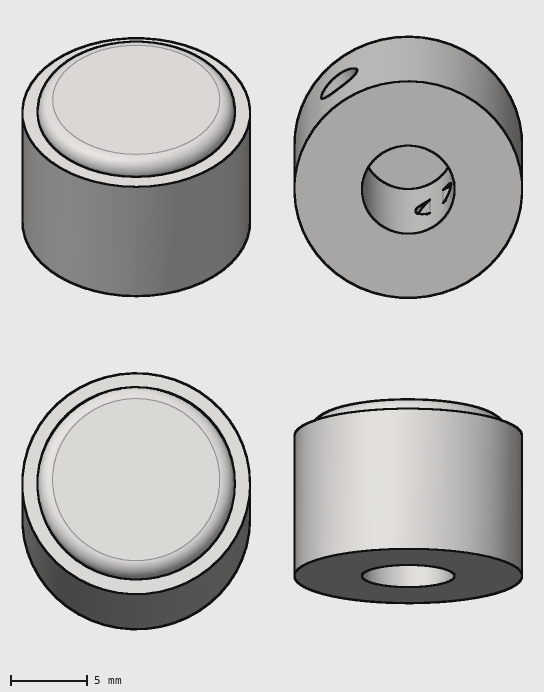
import cadquery as cq

body_diameter = 15.0
body_height = 9.5

cap_diameter = 13.0
cap_height = 1.1
cap_fillet = 1.0

bore_diameter = 6.1
bore_depth = body_height

screw_hole_diameter = 3.0
screw_hole_height = body_height / 2
screw_hole_end_x = 3.0
screw_hole_depth = body_diameter / 2 + screw_hole_end_x


def make_body():
    return cq.Workplane("XY").circle(body_diameter / 2).extrude(body_height)


def make_cap():
    cap = (
        cq.Workplane("XY")
        .workplane(offset=body_height)
        .circle(cap_diameter / 2)
        .extrude(cap_height)
    )
    return cap.faces(">Z").edges().fillet(cap_fillet)


def make_shaft_bore():
    return cq.Workplane("XY").circle(bore_diameter / 2).extrude(bore_depth)


def make_screw_hole():
    return (
        cq.Workplane("YZ")
        .workplane(offset=screw_hole_end_x)
        .center(0, screw_hole_height)
        .circle(screw_hole_diameter / 2)
        .extrude(-screw_hole_depth)
    )


result = make_body().union(make_cap()).cut(make_shaft_bore()).cut(make_screw_hole())